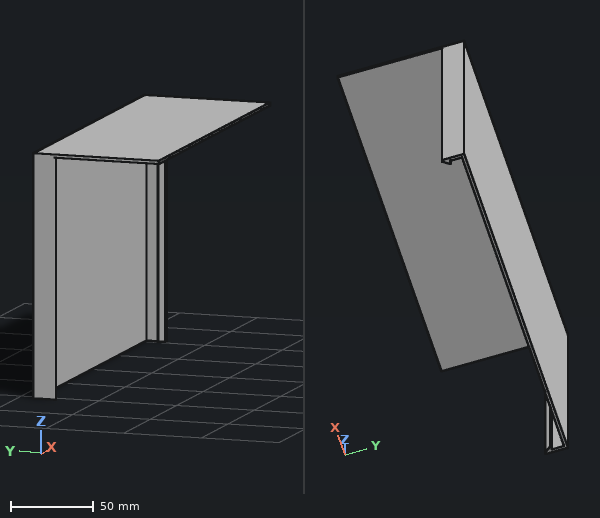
import cadquery as cq
import math

width = 211.0
shelf_depth = 81.0
height = 152.0

wall = 2.0

flange_depth = 14.5
tip_width = 1.5
tip_length = 0.7
barb_projection = 2.0
lead_in_angle = 35.0
barb_crest = 0.5

back_y = shelf_depth / 2
bottom_z = -height / 2
shelf_bottom_z = height / 2 - wall
upright_height = height - wall


def make_shelf():
    """Flat plate across the top, reaching forward from the panel."""
    shelf = cq.Workplane("XY").box(width, shelf_depth, wall, centered=(True, True, False))
    return shelf.translate((0, 0, shelf_bottom_z))


def make_panel():
    """Upright back panel below the shelf."""
    panel = cq.Workplane("XY").box(width, wall, upright_height, centered=(True, False, False))
    return panel.translate((0, back_y - wall, bottom_z))


def make_left_flange():
    """Upright flange on the -X edge, with a rounded tip and an inward barb."""
    outer_x = -width / 2
    wall_x = outer_x + wall
    barb_x = wall_x + barb_projection
    tip_x = outer_x + tip_width
    tip_y = back_y - flange_depth
    round_start_y = tip_y + tip_length
    crest_front_y = round_start_y + (barb_x - tip_x) / math.tan(math.radians(lead_in_angle))
    crest_back_y = crest_front_y + barb_crest
    return (
        cq.Workplane("XY", origin=(0, 0, bottom_z))
        .moveTo(outer_x, back_y)
        .lineTo(wall_x, back_y)
        .lineTo(wall_x, crest_back_y)
        .lineTo(barb_x, crest_back_y)
        .lineTo(barb_x, crest_front_y)
        .lineTo(tip_x, round_start_y)
        .threePointArc((outer_x + tip_width / 2, tip_y), (outer_x, round_start_y))
        .close()
        .extrude(upright_height)
    )


left_flange = make_left_flange()
right_flange = left_flange.mirror("YZ")

result = make_shelf().union(make_panel()).union(left_flange).union(right_flange).clean()